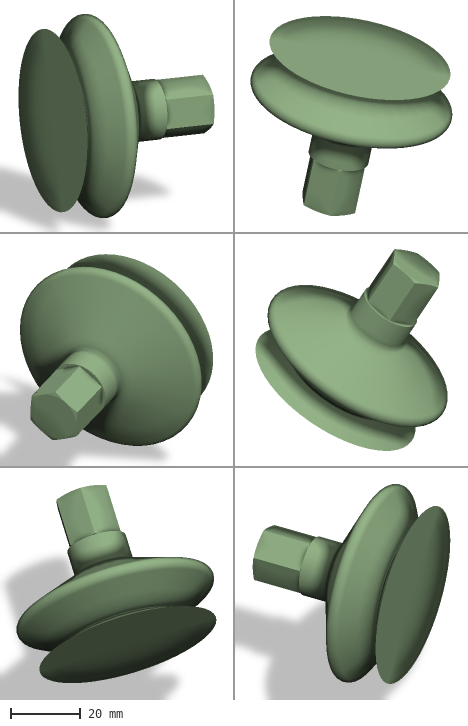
import cadquery as cq
import math

overall_radius = 29.5
overall_length = 47.0

lip_radius = 26.5
waist_radius = 17.4
waist_start = 3.7
waist_width = 0.35
rim_round = 2.1
rim_height = 12.8
upper_wall_angle = math.radians(24.5)

collar_radius = 17.5 / 2
collar_fillet = 1.4
collar_top = 31.9

hex_across_flats = 15.0
hex_turn = 3.0
hex_end_radius = 7.4
hex_chamfer_height = 0.35


def offset(point, distance, angle):
    """Point at a distance from another, along an angle in the profile plane."""
    return (point[0] + distance * math.cos(angle), point[1] + distance * math.sin(angle))


def make_cup():
    """Revolve the bellows and the collar, with walls tangent to the rim and the fillet."""
    waist_end = waist_start + waist_width
    rim_center = (overall_radius - rim_round, rim_height)
    run = rim_center[0] - waist_radius
    rise = rim_center[1] - waist_end
    lower_wall_angle = math.atan2(rise, run) - math.asin(rim_round / math.hypot(run, rise))
    lower_normal = lower_wall_angle - math.pi / 2
    upper_normal = math.pi / 2 - upper_wall_angle

    fillet_center_radius = collar_radius + collar_fillet
    wall_run = rim_center[0] - fillet_center_radius
    wall_rise = rim_round + collar_fillet + wall_run * math.sin(upper_wall_angle)
    fillet_height = rim_height + wall_rise / math.cos(upper_wall_angle)
    fillet_center = (fillet_center_radius, fillet_height)
    wall_side = math.pi + upper_normal

    return (
        cq.Workplane("XY")
        .moveTo(0, 0)
        .lineTo(lip_radius, 0)
        .lineTo(waist_radius, waist_start)
        .lineTo(waist_radius, waist_end)
        .lineTo(*offset(rim_center, rim_round, lower_normal))
        .threePointArc((overall_radius, rim_height), offset(rim_center, rim_round, upper_normal))
        .lineTo(*offset(fillet_center, collar_fillet, wall_side))
        .threePointArc(
            offset(fillet_center, collar_fillet, (wall_side + math.pi) / 2),
            (collar_radius, fillet_height),
        )
        .lineTo(collar_radius, collar_top)
        .lineTo(0, collar_top)
        .close()
        .revolve(360, (0, 0, 0), (0, 1, 0))
    )


def make_hex():
    """Hexagonal prism with conical chamfers on the corners at both ends."""
    corner_radius = hex_across_flats / math.sqrt(3)
    prism = (
        cq.Workplane("XZ", origin=(0, collar_top, 0))
        .transformed(rotate=(0, 0, 90 + hex_turn))
        .polygon(6, 2 * corner_radius)
        .extrude(collar_top - overall_length)
    )
    chamfer_envelope = (
        cq.Workplane("XY")
        .moveTo(0, collar_top)
        .lineTo(hex_end_radius, collar_top)
        .lineTo(corner_radius, collar_top + hex_chamfer_height)
        .lineTo(corner_radius, overall_length - hex_chamfer_height)
        .lineTo(hex_end_radius, overall_length)
        .lineTo(0, overall_length)
        .close()
        .revolve(360, (0, 0, 0), (0, 1, 0))
    )
    return prism.intersect(chamfer_envelope)


result = make_cup().union(make_hex())